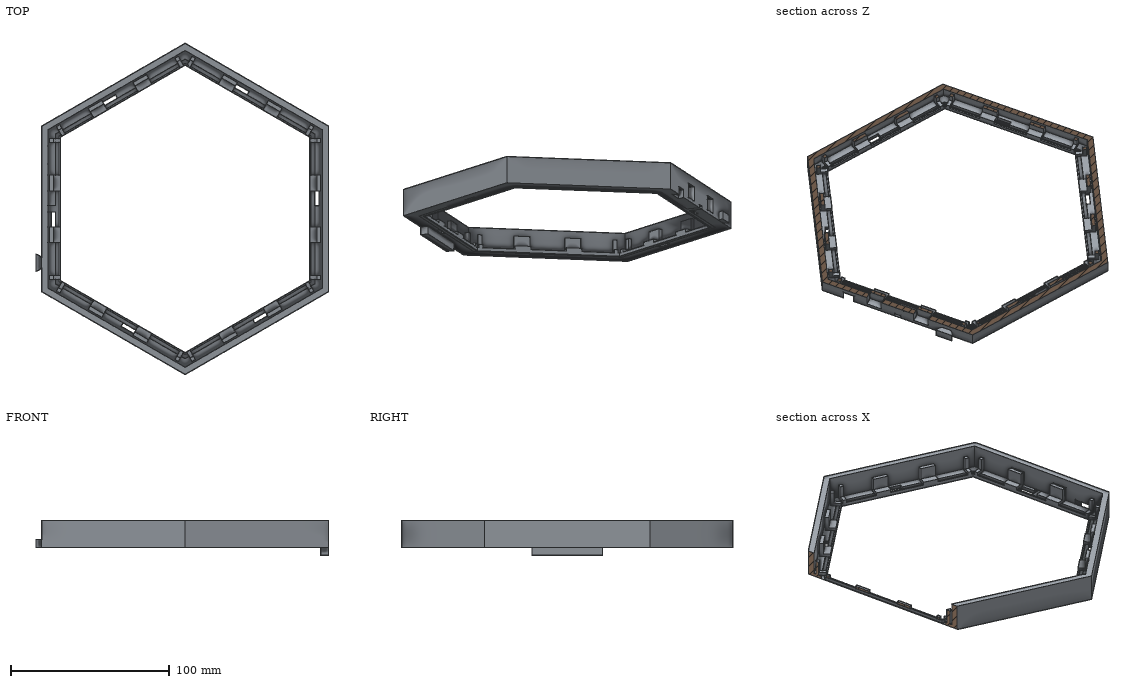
import cadquery as cq
import math

SIDES = 6

ring_width_y = 209.24
ring_height = 17.2
apothem = ring_width_y / 2 * math.cos(math.pi / SIDES)
wall_thickness = 4.0
floor_thickness = 2.2
floor_depth = 12.0

groove_outer_depth = 8.7
groove_inner_depth = 11.0
groove_floor = 0.2

upright_outer_depth = 5.0
upright_inner_depth = 7.5
clip_top = 11.7
foot_top = 4.2
clip_width = 10.0
clip_offset = 16.3
post_width = 2.5
post_offset = 43.2

channel_width = 4.2
slot_start = channel_width / 2
slot_end = clip_offset - clip_width / 2
slot_outer_depth = 6.2

window_width = 10.0
window_top = 11.5

key_length = 184.86 - 2 * apothem
key_radius = 5.5
key_center_gap = 1.0
key_height = 5.2
key_offset = 34.0
keyway_radius = 5.7
keyway_center_gap = 0.5

bar_length = 44.7
bar_width = 5.0
bar_height = 5.0


def hexagon(depth, bottom, top):
    """Hexagonal prism whose sides lie `depth` inside the ring's outer faces."""
    corner_radius = (apothem - depth) / math.cos(math.pi / SIDES)
    prism = cq.Workplane("XY", origin=(0, 0, bottom)).polygon(SIDES, 2 * corner_radius)
    return prism.extrude(top - bottom).rotate((0, 0, 0), (0, 0, 1), 180 / SIDES)


def side_block(depth_from, depth_to, y_from, y_to, bottom, top):
    """Box in the -X side of the ring."""
    size = (depth_to - depth_from, y_to - y_from, top - bottom)
    corner = (depth_from - apothem, y_from, bottom)
    return cq.Workplane("XY", origin=corner).box(*size, centered=False)


def around(block):
    """One copy of a block of the -X side for each side of the ring."""
    for side in range(SIDES):
        yield block.rotate((0, 0, 0), (0, 0, 1), side * 360 / SIDES)


def clip(center, width):
    y_from = center - width / 2
    y_to = center + width / 2
    upright = side_block(upright_outer_depth, upright_inner_depth, y_from, y_to, floor_thickness, clip_top)
    foot = side_block(upright_outer_depth, floor_depth, y_from, y_to, floor_thickness, foot_top)
    return upright.union(foot)


def key_prism(length, radius, center_gap):
    """Key centred on Y = 0: a flat end on X = -length, narrowing along arcs to its neck on X = 0."""
    def half_width(x):
        return math.sqrt(radius**2 - (x + length + center_gap)**2)

    middle_x = -length / 2
    outline = (
        cq.Workplane("XY")
        .moveTo(-length, -half_width(-length))
        .threePointArc((middle_x, -half_width(middle_x)), (0, -half_width(0)))
        .lineTo(0, half_width(0))
        .threePointArc((middle_x, half_width(middle_x)), (-length, half_width(-length)))
        .close()
    )
    return outline.extrude(key_height)


def make_ring():
    ring = hexagon(0, 0, ring_height)
    ring = ring.cut(hexagon(wall_thickness, floor_thickness, ring_height))
    ring = ring.cut(hexagon(floor_depth, 0, floor_thickness))
    groove = hexagon(groove_outer_depth, groove_floor, floor_thickness)
    ring = ring.cut(groove.cut(hexagon(groove_inner_depth, groove_floor, floor_thickness)))

    slot = side_block(slot_outer_depth, groove_outer_depth, -slot_end, -slot_start, 0, floor_thickness)
    for copy in around(slot):
        ring = ring.cut(copy)

    for direction in (-1, 1):
        for copy in around(clip(direction * clip_offset, clip_width)):
            ring = ring.union(copy)
        for copy in around(clip(direction * post_offset, post_width)):
            ring = ring.union(copy)
        window_center = direction * clip_offset
        window = side_block(
            0, wall_thickness,
            window_center - window_width / 2, window_center + window_width / 2,
            floor_thickness, window_top,
        )
        ring = ring.cut(window)

    half_channel = channel_width / 2
    channel = side_block(
        0, groove_outer_depth, -half_channel, half_channel, groove_floor, floor_thickness
    )
    ring = ring.cut(channel)

    keyway = key_prism(wall_thickness, keyway_radius, keyway_center_gap).mirror("YZ")
    return ring.cut(keyway.translate((-apothem, key_offset, 0)))


def make_key():
    return key_prism(key_length, key_radius, key_center_gap).translate((-apothem, -key_offset, 0))


def make_bar():
    bar = cq.Workplane("XY", origin=(apothem - bar_width, -bar_length / 2, -bar_height))
    return bar.box(bar_width, bar_length, bar_height, centered=False)


ring = make_ring()
key = make_key()
bar = make_bar()

result = cq.Compound.makeCompound([ring.val(), key.val(), bar.val()])